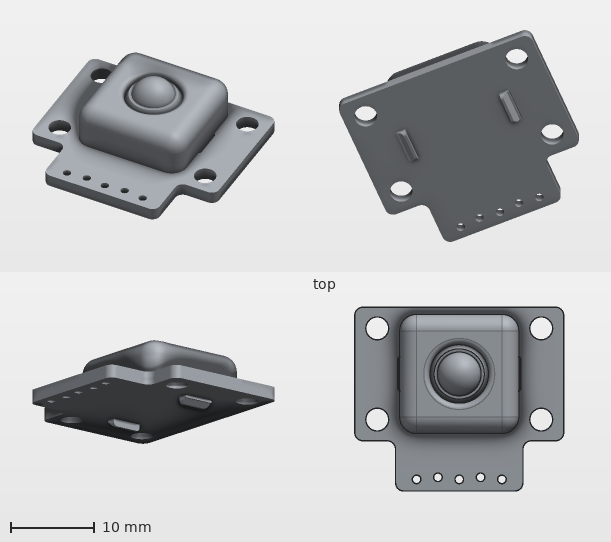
import cadquery as cq


board_width = 25.0
board_depth = 16.0
board_thickness = 1.6
board_radius = 1.0
tongue_width = 15.25
tongue_length = 6.0
mount_hole_diameter = 2.7
mount_hole_x = 9.8
mount_hole_y = 5.45
pin_hole_diameter = 1.0
pin_hole_count = 5
pin_hole_pitch = 2.55
pin_row_y = -12.6
pin_stagger = 0.25

housing_width = 14.25
housing_height = 5.02
housing_radius = 2.0
opening_diameter = 7.0
opening_rim_radius = 0.75

leg_inner_x = 6.12
leg_outer_x = 7.28
leg_width = 4.0
leg_depth = 0.88
leg_lip_depth = 0.28
leg_lip_step = 0.22
leg_tip_thickness = 0.32
leg_tip_radius = 0.48
slot_outer_x = 7.38
slot_length = 4.25
slot_radius = 0.5

ball_diameter = 5.42
ball_top = 8.52
ball_center_z = ball_top - ball_diameter / 2
collar_top_diameter = 6.0
collar_top_z = 6.5
collar_taper_height = 0.75


def make_board():
    """Board with a tongue, mounting holes, staggered pin holes and two leg slots."""
    tongue_center_y = -(board_depth + tongue_length) / 2
    board = (
        cq.Workplane("XY")
        .rect(board_width, board_depth)
        .extrude(board_thickness)
        .union(
            cq.Workplane("XY")
            .center(0, tongue_center_y)
            .rect(tongue_width, tongue_length)
            .extrude(board_thickness)
        )
        .edges("|Z")
        .fillet(board_radius)
    )
    mount_holes = (
        cq.Workplane("XY")
        .rect(2 * mount_hole_x, 2 * mount_hole_y, forConstruction=True)
        .vertices()
        .circle(mount_hole_diameter / 2)
        .extrude(board_thickness)
    )
    pin_points = [
        ((i - (pin_hole_count - 1) / 2) * pin_hole_pitch, pin_row_y + (i % 2) * pin_stagger)
        for i in range(pin_hole_count)
    ]
    pin_holes = (
        cq.Workplane("XY").pushPoints(pin_points).circle(pin_hole_diameter / 2).extrude(board_thickness)
    )
    slot_center_x = (slot_outer_x + leg_inner_x) / 2
    slots = (
        cq.Workplane("XY")
        .pushPoints([(-slot_center_x, 0), (slot_center_x, 0)])
        .rect(slot_outer_x - leg_inner_x, slot_length)
        .extrude(board_thickness)
        .edges("|Z and (<X or >X)")
        .fillet(slot_radius)
    )
    return board.cut(mount_holes).cut(pin_holes).cut(slots)


def make_leg():
    """Right-hand snap leg: a lip under the board that slopes inward to a thin tip with rounded corners."""
    ramp_start_x = leg_outer_x - leg_lip_step
    wall_x = housing_width / 2
    leg = (
        cq.Workplane("XZ")
        .moveTo(leg_inner_x, board_thickness)
        .lineTo(wall_x, board_thickness)
        .lineTo(wall_x, 0)
        .lineTo(leg_outer_x, 0)
        .lineTo(leg_outer_x, -leg_lip_depth)
        .lineTo(ramp_start_x, -leg_lip_depth)
        .lineTo(leg_inner_x + leg_tip_thickness, -leg_depth)
        .lineTo(leg_inner_x, -leg_depth)
        .close()
        .extrude(leg_width / 2, both=True)
    )
    return leg.faces("<Z").edges("|X").fillet(leg_tip_radius)


def make_housing():
    """Rounded square cap with a rounded ball opening and two snap legs."""
    opening_radius = opening_diameter / 2
    housing = (
        cq.Workplane("XY")
        .workplane(offset=board_thickness)
        .rect(housing_width, housing_width)
        .extrude(housing_height)
        .edges("|Z or >Z")
        .fillet(housing_radius)
    )
    opening = (
        cq.Workplane("XY").workplane(offset=board_thickness).circle(opening_radius).extrude(housing_height)
    )
    housing = housing.cut(opening)
    rim = cq.selectors.RadiusNthSelector(0)
    housing = housing.faces(">Z").edges("%CIRCLE").edges(rim).fillet(opening_rim_radius)
    right_leg = make_leg()
    left_leg = right_leg.mirror("YZ")
    return housing.union(right_leg).union(left_leg)


def make_ball():
    """Full sphere that rises above the housing."""
    return cq.Workplane("XY").sphere(ball_diameter / 2).translate((0, 0, ball_center_z))


def make_collar(ball):
    """Round seat on the board with a tapered top, hollowed to fit the ball."""
    taper_start_z = collar_top_z - collar_taper_height
    collar = (
        cq.Workplane("XZ")
        .moveTo(0, board_thickness)
        .lineTo(opening_diameter / 2, board_thickness)
        .lineTo(opening_diameter / 2, taper_start_z)
        .lineTo(collar_top_diameter / 2, collar_top_z)
        .lineTo(0, collar_top_z)
        .close()
        .revolve(360, (0, 0, 0), (0, 1, 0))
    )
    return collar.cut(ball)


board = make_board()
housing = make_housing()
ball = make_ball()
collar = make_collar(ball)

result = cq.Compound.makeCompound([board.val(), housing.val(), collar.val(), ball.val()])